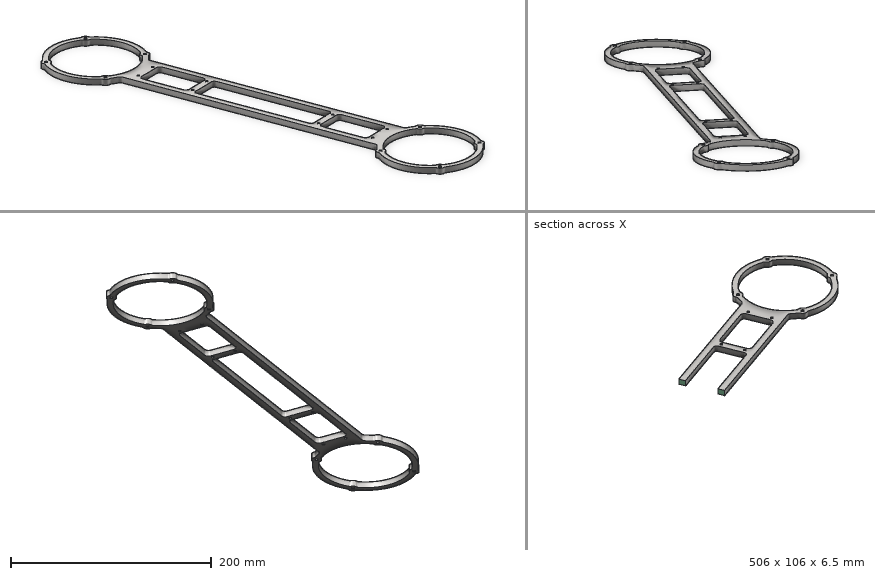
import cadquery as cq
import math

length = 506.0
thickness = 6.5

ring_outer_diameter = 106.0
ring_inner_diameter = 93.5
ring_center_x = (length - ring_outer_diameter) / 2

boss_count = 4
boss_start_angle = 45.0
boss_diameter = 10.0
boss_hole_diameter = 3.0
boss_fillet = 3.0
boss_clearance = 0.25
boss_circle_radius = 50.0

beam_width = 50.0
beam_fillet = 4.0

window_width = 35.5
middle_window_fillet = 3.5
side_window_fillet = 4.5
middle_window_length = 141.5
side_window_length = 57.0
crossbar_width = 8.0
side_window_x = middle_window_length / 2 + crossbar_width + side_window_length / 2

mount_hole_diameter = 2.5
mount_hole_spacing_x = 65.0
mount_hole_spacing_y = 26.0
mount_pattern_x = 108.0

ring_centers = [(-ring_center_x, 0), (ring_center_x, 0)]
boss_centers = [
    (
        center_x + boss_circle_radius * math.cos(math.radians(boss_start_angle + i * 360 / boss_count)),
        center_y + boss_circle_radius * math.sin(math.radians(boss_start_angle + i * 360 / boss_count)),
    )
    for center_x, center_y in ring_centers
    for i in range(boss_count)
]


def cylinders(centers, diameter):
    """Full-thickness cylinders standing at the given centers."""
    return cq.Workplane("XY").pushPoints(centers).circle(diameter / 2).extrude(thickness)


def round_corners(body, center, half_x, half_y, radius):
    """Fillet the vertical edges inside a rectangle around the given center."""
    center_x, center_y = center
    region = cq.selectors.BoxSelector(
        (center_x - half_x, center_y - half_y, 0),
        (center_x + half_x, center_y + half_y, thickness),
    )
    return body.edges("|Z").edges(region).fillet(radius)


def frame():
    """Beam, rings and bosses in one plate, with the corners where they meet rounded."""
    beam = cq.Workplane("XY").rect(2 * ring_center_x, beam_width).extrude(thickness)
    body = beam.union(cylinders(ring_centers, ring_outer_diameter))
    body = round_corners(body, (0, 0), ring_center_x, beam_width, beam_fillet)
    body = body.cut(cylinders(ring_centers, ring_inner_diameter))
    body = body.union(cylinders(boss_centers, boss_diameter))
    boss_reach = boss_diameter / 2 + boss_clearance
    for center in boss_centers:
        body = round_corners(body, center, boss_reach, boss_reach, boss_fillet)
    return body


def window(center_x, window_length, corner_radius):
    """Rounded rectangular cutter for one window."""
    block = cq.Workplane("XY").center(center_x, 0).rect(window_length, window_width).extrude(thickness)
    return block.edges("|Z").fillet(corner_radius)


def mount_holes(center_x):
    """Cutter for the four small holes around one side window."""
    return (
        cq.Workplane("XY")
        .center(center_x, 0)
        .rect(mount_hole_spacing_x, mount_hole_spacing_y, forConstruction=True)
        .vertices()
        .circle(mount_hole_diameter / 2)
        .extrude(thickness)
    )


result = frame()
result = result.cut(cylinders(boss_centers, boss_hole_diameter))

result = result.cut(window(0, middle_window_length, middle_window_fillet))
for side in (-1, 1):
    result = result.cut(window(side * side_window_x, side_window_length, side_window_fillet))
    result = result.cut(mount_holes(side * mount_pattern_x))